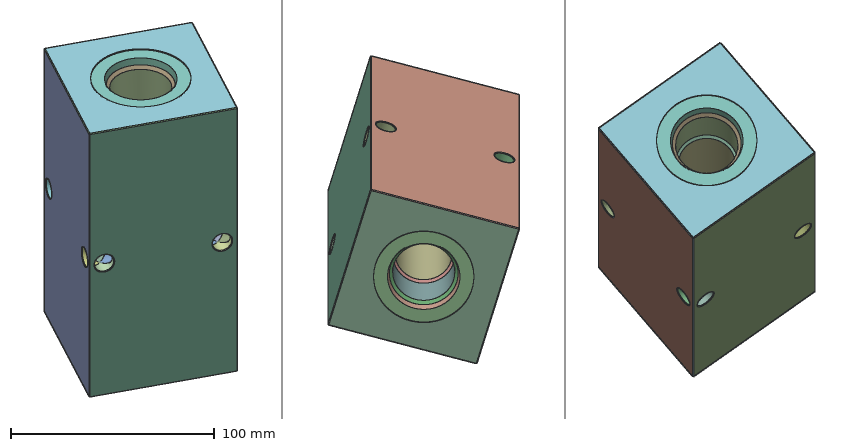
import cadquery as cq
import math

height = 158.8
width = 76.2
edge_chamfer = 0.5

spotface_radius = 24.6
spotface_depth = 0.6
seat_mouth_radius = 17.8
seat_depth = 3.5
seat_half_angle = 15.0
thread_radius = 15.2
thread_depth = 25.4
flow_bore_radius = 14.0

mounting_hole_radius = 5.0
mounting_hole_spacing = 60.5
mounting_hole_chamfer = 0.4


def make_block():
    """Square block centred on the origin with every edge chamfered."""
    return cq.Workplane("XY").box(width, width, height).edges().chamfer(edge_chamfer)


def make_port():
    """Solid of revolution that cuts the stepped port into the top face."""
    top = height / 2
    floor = top - spotface_depth
    seat_bottom = floor - seat_depth
    seat_bottom_radius = seat_mouth_radius - seat_depth * math.tan(math.radians(seat_half_angle))
    thread_bottom = floor - thread_depth

    thread_top = seat_bottom - (seat_bottom_radius - thread_radius)
    cone_bottom = thread_bottom - (thread_radius - flow_bore_radius)

    profile = [
        (0, top),
        (spotface_radius, top),
        (spotface_radius, floor),
        (seat_mouth_radius, floor),
        (seat_bottom_radius, seat_bottom),
        (thread_radius, thread_top),
        (thread_radius, thread_bottom),
        (flow_bore_radius, cone_bottom),
        (0, cone_bottom),
    ]
    return cq.Workplane("XZ").polyline(profile).close().revolve(360, (0, 0, 0), (0, 1, 0))


def make_flow_bore():
    """Bore along Z that joins the two ports."""
    return cq.Workplane("XY").circle(flow_bore_radius).extrude(height / 2, both=True)


def make_mounting_hole(offset):
    """Through hole along Y at X = offset, chamfered at both mouths."""
    half_width = width / 2
    mouth_radius = mounting_hole_radius + mounting_hole_chamfer
    chamfer_end = half_width - mounting_hole_chamfer
    profile = [
        (0, -half_width),
        (mouth_radius, -half_width),
        (mounting_hole_radius, -chamfer_end),
        (mounting_hole_radius, chamfer_end),
        (mouth_radius, half_width),
        (0, half_width),
    ]
    hole = cq.Workplane("XY").polyline(profile).close().revolve(360, (0, 0, 0), (0, 1, 0))
    return hole.translate((offset, 0, 0))


port = make_port()
result = make_block().cut(make_flow_bore()).cut(port).cut(port.mirror("XY"))

for side in (-1, 1):
    mounting_hole = make_mounting_hole(side * mounting_hole_spacing / 2)
    crossing_hole = mounting_hole.rotate((0, 0, 0), (0, 0, 1), 90)
    result = result.cut(mounting_hole).cut(crossing_hole)